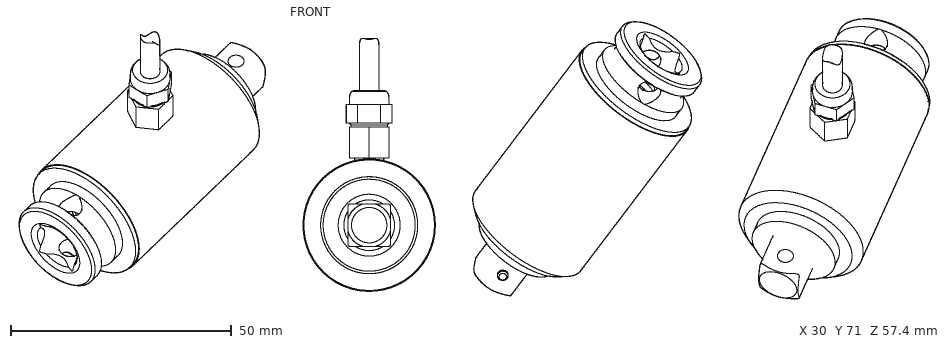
import cadquery as cq
import math


OVERALL_LENGTH = 71.0

HOUSING_DIAMETER = 30.0
HOUSING_FRONT = 10.6
HOUSING_BACK = 57.65
RIM_DIAMETER = 29.6
RIM_LENGTH = 1.1
BACK_CHAMFER = 2.0

SOCKET_DIAMETER = 22.0
SOCKET_CHAMFER = 0.6
JOURNAL_DIAMETER = 20.0
JOURNAL_BACK = 60.6

GROOVE_CENTRE = 5.5
GROOVE_ARC = 2.0
GROOVE_DEPTH = 1.7
GROOVE_FLOOR = 1.2
CROSS_HOLE_DIAMETER = 5.2

SOCKET_SQUARE = 9.6
SOCKET_CORNER_RADIUS = 0.4
SOCKET_DEPTH = 10.65
MOUTH_DIAMETER = 14.05
MOUTH_DEPTH = 0.65
LEAD_IN_DIAMETER = 11.5
LEAD_IN_DEPTH = 2.1
RELIEF_DIAMETER = 10.0
RELIEF_DEPTH = 12.1
DRILL_DIAMETER = 8.0
DRILL_TIP_ANGLE = 118.0

DRIVE_SQUARE = 9.5
DRIVE_EDGE_RADIUS = 0.8
DRIVE_END_DIAMETER = 9.0
DRIVE_END_ANGLE = 30.0
DRIVE_ROOT_RADIUS = 0.6

DETENT_Y = 66.1
PIN_DIAMETER = 2.4
PIN_PROTRUSION = 0.85
PIN_TIP_CHAMFER = 0.35
PLUG_DIAMETER = 3.6
PLUG_LENGTH = 2.1

GLAND_Y = 34.65
HEX_ACROSS_FLATS = 9.0
SPIGOT_DIAMETER = 6.6
SPIGOT_BOTTOM = 12.8
FITTING_BOTTOM = 15.2
FITTING_TOP = 22.3
NECK_DIAMETER = 8.3
NUT_BOTTOM = 22.7
NUT_HEX_BOTTOM = 23.15
NUT_HEX_TOP = 27.4
NUT_RIM_BOTTOM = 28.9
NUT_RIM_TOP = 30.3
NUT_RIM_TOP_DIAMETER = 7.95
NUT_CROWN = 30.5
NUT_CROWN_DIAMETER = 6.5
NUT_MOUTH = 29.9

CABLE_DIAMETER = 4.5
CABLE_TOP = 42.35
CABLE_BACK_Z = 41.45
CABLE_DIP_Y = 0.6
CABLE_DIP_Z = 40.05
CABLE_PEAK_Y = -1.7
CABLE_FRONT_Z = 42.1


def turned(points):
    """Revolve (radius, y) points about the Y axis."""
    return cq.Workplane("XY").polyline(points).close().revolve(360, (0, 0), (0, 1))


def square_bar(side, y_start, y_end):
    """Square bar along Y, centred on the main axis."""
    return cq.Workplane("XY").box(side, y_end - y_start, side).translate((0, (y_start + y_end) / 2, 0))


def post(diameter, z_start, z_end, y):
    """Upright cylinder on the plane x = 0."""
    return cq.Workplane("XY", origin=(0, y, z_start)).circle(diameter / 2).extrude(z_end - z_start)


def hex_post(z_start, z_end, turn):
    """Upright hexagon on the gland axis; turn = 0 puts two corners on X."""
    across_corners = HEX_ACROSS_FLATS / math.cos(math.pi / 6)
    prism = cq.Workplane("XY").polygon(6, across_corners).extrude(z_end - z_start)
    return prism.rotate((0, 0, 0), (0, 0, 1), turn).translate((0, GLAND_Y, z_start))


def make_housing():
    bore_radius = JOURNAL_DIAMETER / 2
    outer_radius = HOUSING_DIAMETER / 2
    rim_radius = RIM_DIAMETER / 2
    rim_back = HOUSING_FRONT + RIM_LENGTH
    sleeve = turned([
        (bore_radius, HOUSING_FRONT),
        (rim_radius, HOUSING_FRONT),
        (rim_radius, rim_back),
        (outer_radius, rim_back),
        (outer_radius, HOUSING_BACK - BACK_CHAMFER),
        (outer_radius - BACK_CHAMFER, HOUSING_BACK),
        (bore_radius, HOUSING_BACK),
    ])
    return sleeve.cut(post(SPIGOT_DIAMETER, SPIGOT_BOTTOM, FITTING_BOTTOM, GLAND_Y))


def make_shaft_blank():
    """Socket head with its groove, and the journal."""
    head_radius = SOCKET_DIAMETER / 2
    journal_radius = JOURNAL_DIAMETER / 2
    floor_radius = head_radius - GROOVE_DEPTH
    floor_front = GROOVE_CENTRE - GROOVE_FLOOR / 2
    floor_back = GROOVE_CENTRE + GROOVE_FLOOR / 2
    arc_angle = math.acos(1 - GROOVE_DEPTH / GROOVE_ARC)
    arc_length = GROOVE_ARC * math.sin(arc_angle)
    mid_radius = floor_radius + GROOVE_ARC * (1 - math.cos(arc_angle / 2))
    mid_length = GROOVE_ARC * math.sin(arc_angle / 2)
    return (
        cq.Workplane("XY")
        .lineTo(head_radius - SOCKET_CHAMFER, 0)
        .lineTo(head_radius, SOCKET_CHAMFER)
        .lineTo(head_radius, floor_front - arc_length)
        .threePointArc((mid_radius, floor_front - mid_length), (floor_radius, floor_front))
        .lineTo(floor_radius, floor_back)
        .threePointArc((mid_radius, floor_back + mid_length), (head_radius, floor_back + arc_length))
        .lineTo(head_radius, HOUSING_FRONT)
        .lineTo(journal_radius, HOUSING_FRONT)
        .lineTo(journal_radius, JOURNAL_BACK)
        .lineTo(0, JOURNAL_BACK)
        .close()
        .revolve(360, (0, 0), (0, 1))
    )


def make_socket_cavity():
    """Square recess with a two-stage conical mouth and a drilled bottom."""
    square = square_bar(SOCKET_SQUARE, 0, SOCKET_DEPTH).edges("|Y").fillet(SOCKET_CORNER_RADIUS)
    mouth = turned([
        (0, 0),
        (MOUTH_DIAMETER / 2, 0),
        (LEAD_IN_DIAMETER / 2, MOUTH_DEPTH),
        (SOCKET_SQUARE / 2, LEAD_IN_DEPTH),
        (0, LEAD_IN_DEPTH),
    ])
    drill_radius = DRILL_DIAMETER / 2
    tip_depth = drill_radius / math.tan(math.radians(DRILL_TIP_ANGLE / 2))
    relief = turned([
        (0, MOUTH_DEPTH),
        (drill_radius, MOUTH_DEPTH),
        (drill_radius, SOCKET_DEPTH),
        (RELIEF_DIAMETER / 2, SOCKET_DEPTH),
        (RELIEF_DIAMETER / 2, RELIEF_DEPTH),
        (drill_radius, RELIEF_DEPTH),
        (0, RELIEF_DEPTH + tip_depth),
    ])
    return square.union(mouth).union(relief)


def make_drive():
    """Square drive with rounded edges and a conical end."""
    bar = square_bar(DRIVE_SQUARE, JOURNAL_BACK, OVERALL_LENGTH).edges("|Y").fillet(DRIVE_EDGE_RADIUS)
    end_radius = DRIVE_END_DIAMETER / 2
    wide_radius = DRIVE_SQUARE
    cone_depth = (wide_radius - end_radius) * math.tan(math.radians(DRIVE_END_ANGLE))
    envelope = turned([
        (0, JOURNAL_BACK),
        (wide_radius, JOURNAL_BACK),
        (wide_radius, OVERALL_LENGTH - cone_depth),
        (end_radius, OVERALL_LENGTH),
        (0, OVERALL_LENGTH),
    ])
    return bar.intersect(envelope)


def make_shaft():
    """Socket head, journal and drive, with a flared drive root and all holes."""
    shaft = make_shaft_blank().union(make_drive())
    half_drive = DRIVE_SQUARE / 2
    root_zone = cq.selectors.BoxSelector(
        (-half_drive - 0.7, JOURNAL_BACK - 0.1, -half_drive - 0.7),
        (half_drive + 0.7, JOURNAL_BACK + 0.1, half_drive + 0.7),
        boundingbox=True,
    )
    shaft = shaft.edges(root_zone).fillet(DRIVE_ROOT_RADIUS)
    cross_hole = post(CROSS_HOLE_DIAMETER, -SOCKET_DIAMETER / 2, SOCKET_DIAMETER / 2, GROOVE_CENTRE)
    plug_hole = post(PLUG_DIAMETER, half_drive - PLUG_LENGTH, half_drive, DETENT_Y)
    pin_hole = post(PIN_DIAMETER, -half_drive, half_drive - PLUG_LENGTH, DETENT_Y)
    return shaft.cut(make_socket_cavity()).cut(cross_hole).cut(plug_hole).cut(pin_hole)


def make_pin():
    """Pin standing out below the drive, with a chamfered tip."""
    half_drive = DRIVE_SQUARE / 2
    pin = post(PIN_DIAMETER, -half_drive - PIN_PROTRUSION, half_drive - PLUG_LENGTH, DETENT_Y)
    return pin.faces("<Z").chamfer(PIN_TIP_CHAMFER)


def make_plug():
    """Plug closing the pin hole, flush with the top of the drive."""
    half_drive = DRIVE_SQUARE / 2
    return post(PLUG_DIAMETER, half_drive - PLUG_LENGTH, half_drive, DETENT_Y)


def make_fitting():
    """Hexagon fitting with a spigot in the housing and a neck under the nut."""
    hexagon = hex_post(FITTING_BOTTOM, FITTING_TOP, 30)
    spigot = post(SPIGOT_DIAMETER, SPIGOT_BOTTOM, FITTING_BOTTOM, GLAND_Y)
    neck = post(NECK_DIAMETER, FITTING_TOP, NUT_BOTTOM, GLAND_Y)
    cable_hole = post(CABLE_DIAMETER, SPIGOT_BOTTOM, NUT_BOTTOM, GLAND_Y)
    return hexagon.union(spigot).union(neck).cut(cable_hole)


def make_nut():
    """Hexagon nut with a tapered foot, a domed collar and a rounded cable mouth."""
    collar_radius = HEX_ACROSS_FLATS / 2
    bore_radius = CABLE_DIAMETER / 2
    rim_top_radius = NUT_RIM_TOP_DIAMETER / 2
    rim_inset = collar_radius - rim_top_radius
    rim_height = NUT_RIM_TOP - NUT_RIM_BOTTOM
    rim_arc = (rim_inset**2 + rim_height**2) / (2 * rim_inset)
    half_angle = math.asin(rim_height / rim_arc) / 2
    rim_mid = (
        collar_radius - rim_arc * (1 - math.cos(half_angle)),
        NUT_RIM_BOTTOM + rim_arc * math.sin(half_angle),
    )
    turned_part = (
        cq.Workplane("XZ")
        .moveTo(bore_radius, NUT_BOTTOM)
        .lineTo(NECK_DIAMETER / 2, NUT_BOTTOM)
        .lineTo(collar_radius, NUT_HEX_BOTTOM)
        .lineTo(collar_radius, NUT_RIM_BOTTOM)
        .threePointArc(rim_mid, (rim_top_radius, NUT_RIM_TOP))
        .threePointArc((NUT_CROWN_DIAMETER / 2, NUT_CROWN), (bore_radius, NUT_MOUTH))
        .close()
        .revolve(360, (0, 0), (0, 1))
        .translate((0, GLAND_Y, 0))
    )
    cable_hole = post(CABLE_DIAMETER, NUT_HEX_BOTTOM, NUT_HEX_TOP, GLAND_Y)
    hexagon = hex_post(NUT_HEX_BOTTOM, NUT_HEX_TOP, 0).cut(cable_hole)
    return turned_part.union(hexagon)


def make_cable():
    """Cable whose upper end is trimmed by a wave running along Y."""
    radius = CABLE_DIAMETER / 2
    wave = [
        (CABLE_PEAK_Y, CABLE_TOP),
        (CABLE_DIP_Y, CABLE_DIP_Z),
        (radius, CABLE_BACK_Z),
    ]
    trim = (
        cq.Workplane("YZ")
        .moveTo(-radius, SPIGOT_BOTTOM)
        .lineTo(-radius, CABLE_FRONT_Z)
        .spline(wave, includeCurrent=True)
        .lineTo(radius, SPIGOT_BOTTOM)
        .close()
        .extrude(CABLE_DIAMETER)
        .translate((-radius, GLAND_Y, 0))
    )
    return post(CABLE_DIAMETER, SPIGOT_BOTTOM, CABLE_TOP + radius, GLAND_Y).intersect(trim)


housing = make_housing()
shaft = make_shaft()
pin = make_pin()
plug = make_plug()
fitting = make_fitting()
nut = make_nut()
cable = make_cable()

result = cq.Compound.makeCompound([
    housing.val(),
    shaft.val(),
    pin.val(),
    plug.val(),
    fitting.val(),
    nut.val(),
    cable.val(),
])